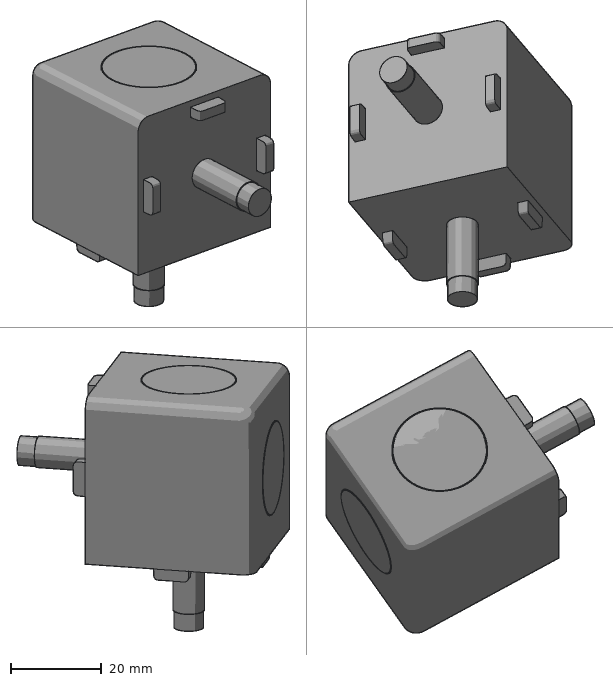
import cadquery as cq

cube_side = 38.1
edge_radius = 3.05
half_side = cube_side / 2

pocket_diameter = 21.05
cap_gap = 0.25
cap_diameter = pocket_diameter - 2 * cap_gap
pocket_depth = 1.0
dome_height = 0.45
side_cap_rim_height = 0.1
top_cap_rim_height = 0.0

shaft_diameter = 7.0
shaft_tip_diameter = 6.6
shaft_tip_length = 4.0
side_shaft_length = 19.05
bottom_shaft_length = 19.0

tab_width = 7.95
tab_thickness = 2.5
tab_height = 3.05
tab_draft = 2.0
tab_corner_radius = 1.0
tab_inset = 1.55
tab_offset = half_side - tab_inset - tab_thickness / 2

along_y = (0, 1, 0)
side_cap_plane = cq.Plane((-half_side, 0, 0), along_y, (-1, 0, 0))
top_cap_plane = cq.Plane((0, 0, half_side), along_y, (0, 0, 1))
side_shaft_plane = cq.Plane((half_side, 0, 0), along_y, (1, 0, 0))
bottom_shaft_plane = cq.Plane((0, 0, -half_side), along_y, (0, 0, -1))


def make_tab(plane, local_x, local_y, turn):
    """One tab at a place on a face, turned about the face normal."""
    tab = (
        cq.Workplane("XY")
        .rect(tab_width, tab_thickness)
        .extrude(tab_height, taper=tab_draft)
        .faces(">Z").edges("|Y").fillet(tab_corner_radius)
        .rotate((0, 0, 0), (0, 0, 1), turn)
        .translate((local_x, local_y, 0))
    )
    return tab.val().moved(cq.Location(plane))


def make_housing():
    """Cube with rounded outer edges, two cap pockets and three tabs on each shaft face."""
    housing = (
        cq.Workplane("XY")
        .box(cube_side, cube_side, cube_side)
        .edges("(|X and >Z) or (|Y and >Z and <X) or (|Z and <X)")
        .fillet(edge_radius)
    )
    for plane in (side_cap_plane, top_cap_plane):
        pocket = cq.Workplane(plane).circle(pocket_diameter / 2).extrude(-pocket_depth)
        housing = housing.cut(pocket)

    for plane in (side_shaft_plane, bottom_shaft_plane):
        rounded_edge_side = 1 if plane.yDir.dot(cq.Vector(-1, 0, 1)) > 0 else -1
        housing = housing.union(make_tab(plane, tab_offset, 0, 90))
        housing = housing.union(make_tab(plane, -tab_offset, 0, 90))
        housing = housing.union(make_tab(plane, 0, rounded_edge_side * tab_offset, 0))
    return housing


def make_cap(plane, rim_height):
    """Disc on the pocket floor whose domed top starts at a rim height above the face."""
    cap_radius = cap_diameter / 2
    dome_radius = (cap_radius**2 + dome_height**2) / (2 * dome_height)
    cap = (
        cq.Workplane("XZ")
        .moveTo(0, -pocket_depth)
        .lineTo(cap_radius, -pocket_depth)
        .lineTo(cap_radius, rim_height)
        .radiusArc((0, rim_height + dome_height), -dome_radius)
        .close()
        .revolve(360, (0, 0), (0, 1))
    )
    return cap.val().moved(cq.Location(plane))


def make_shaft(plane, shaft_length):
    """Round shaft standing on a face, with a slightly thinner tip."""
    shaft = (
        cq.Workplane(plane)
        .circle(shaft_diameter / 2)
        .extrude(shaft_length - shaft_tip_length)
        .faces(cq.selectors.DirectionMinMaxSelector(plane.zDir))
        .workplane()
        .circle(shaft_tip_diameter / 2)
        .extrude(shaft_tip_length)
    )
    return shaft.val()


housing = make_housing()
side_cap = make_cap(side_cap_plane, side_cap_rim_height)
top_cap = make_cap(top_cap_plane, top_cap_rim_height)
side_shaft = make_shaft(side_shaft_plane, side_shaft_length)
bottom_shaft = make_shaft(bottom_shaft_plane, bottom_shaft_length)

result = cq.Compound.makeCompound([housing.val(), side_cap, top_cap, side_shaft, bottom_shaft])